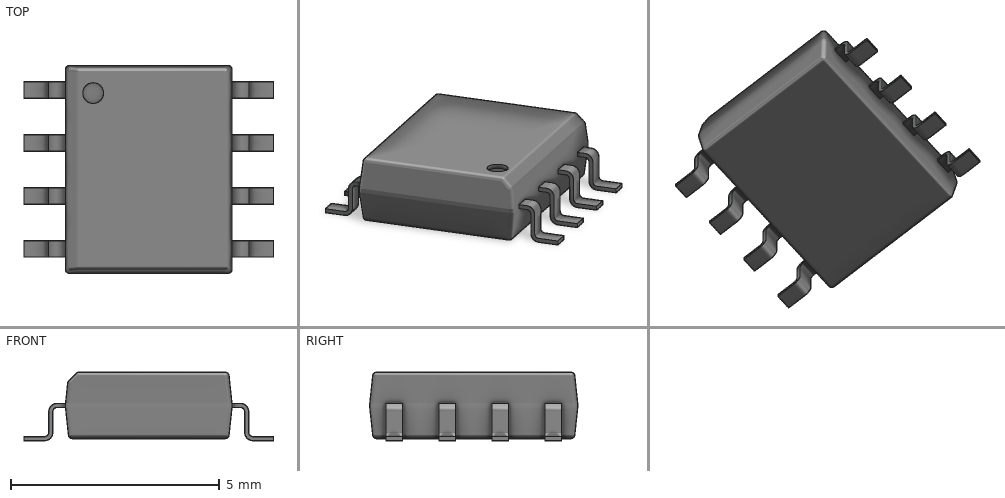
import cadquery as cq
import math

OVERALL_WIDTH = 6.0
OVERALL_HEIGHT = 1.65
BODY_WIDTH = 4.0
BODY_LENGTH = 5.0
STANDOFF = 0.05
DRAFT_ANGLE = 6.0
EDGE_RADIUS = 0.1
CHAMFER_WIDTH = 0.21

DOT_DIAMETER = 0.5
DOT_DEPTH = 0.1
DOT_INSET = 0.665

LEAD_THICKNESS = 0.1
LEAD_WIDTH = 0.4
LEAD_PITCH = 1.27
LEADS_PER_SIDE = 4
LEAD_REACH = 0.4
BEND_INNER_RADIUS = 0.1

BELT_MIDDLE = (STANDOFF + OVERALL_HEIGHT) / 2
BELT_BOTTOM = BELT_MIDDLE - LEAD_THICKNESS / 2
BELT_TOP = BELT_MIDDLE + LEAD_THICKNESS / 2
DRAFTED_HEIGHT = OVERALL_HEIGHT - BELT_TOP
DRAFT_INSET = DRAFTED_HEIGHT * math.tan(math.radians(DRAFT_ANGLE))
BEND_OUTER_RADIUS = BEND_INNER_RADIUS + LEAD_THICKNESS


def drafted_half():
    """Sharp-edged block above the belt, with all four walls drafted."""
    return (
        cq.Workplane("XY", origin=(0, 0, BELT_TOP))
        .rect(BODY_WIDTH, BODY_LENGTH)
        .extrude(DRAFTED_HEIGHT, taper=DRAFT_ANGLE)
    )


def pin_one_bevel():
    """Wedge that bevels the top edge on the -X side at 45 degrees."""
    bevel_top_x = -BODY_WIDTH / 2 + DRAFT_INSET + CHAMFER_WIDTH
    bevel_run = bevel_top_x + BODY_WIDTH / 2
    return (
        cq.Workplane("XZ")
        .moveTo(bevel_top_x, OVERALL_HEIGHT)
        .lineTo(-BODY_WIDTH / 2, OVERALL_HEIGHT)
        .lineTo(-BODY_WIDTH / 2, OVERALL_HEIGHT - bevel_run)
        .close()
        .extrude(BODY_LENGTH / 2, both=True)
    )


def round_edges(half):
    """Round every edge except the ones that border the belt."""
    return half.edges("not <Z").fillet(EDGE_RADIUS)


def pin_one_dot():
    """Blind round recess in the top face."""
    return (
        cq.Workplane("XY", origin=(0, 0, OVERALL_HEIGHT))
        .center(DOT_INSET - BODY_WIDTH / 2, BODY_LENGTH / 2 - DOT_INSET)
        .circle(DOT_DIAMETER / 2)
        .extrude(-DOT_DEPTH)
    )


def make_body():
    """Bevelled half on top of the belt and a plain mirrored half below it."""
    upper_half = round_edges(drafted_half().cut(pin_one_bevel()))
    lower_half = round_edges(drafted_half()).mirror("XY", (0, 0, BELT_MIDDLE))
    belt = upper_half.faces("<Z").wires().toPending().workplane().extrude(LEAD_THICKNESS, combine=False)
    return upper_half.union(belt).union(lower_half).cut(pin_one_dot())


def make_lead():
    """Gull-wing lead on the +X side, centred on Y = 0, butting against the belt."""
    belt_x = BODY_WIDTH / 2
    leg_outer_x = belt_x + LEAD_REACH
    leg_inner_x = leg_outer_x - LEAD_THICKNESS
    tip_x = OVERALL_WIDTH / 2
    shoulder_bend_x = leg_outer_x - BEND_OUTER_RADIUS
    shoulder_bend_z = BELT_TOP - BEND_OUTER_RADIUS
    foot_bend_x = leg_inner_x + BEND_OUTER_RADIUS
    foot_bend_z = BEND_OUTER_RADIUS
    return (
        cq.Workplane("XZ")
        .moveTo(belt_x, BELT_TOP)
        .lineTo(shoulder_bend_x, BELT_TOP)
        .radiusArc((leg_outer_x, shoulder_bend_z), BEND_OUTER_RADIUS)
        .lineTo(leg_outer_x, foot_bend_z)
        .radiusArc((foot_bend_x, LEAD_THICKNESS), -BEND_INNER_RADIUS)
        .lineTo(tip_x, LEAD_THICKNESS)
        .lineTo(tip_x, 0)
        .lineTo(foot_bend_x, 0)
        .radiusArc((leg_inner_x, foot_bend_z), BEND_OUTER_RADIUS)
        .lineTo(leg_inner_x, shoulder_bend_z)
        .radiusArc((shoulder_bend_x, BELT_BOTTOM), -BEND_INNER_RADIUS)
        .lineTo(belt_x, BELT_BOTTOM)
        .close()
        .extrude(LEAD_WIDTH / 2, both=True)
    )


body = make_body()

right_lead = make_lead()
left_lead = right_lead.mirror("YZ")
first_lead_y = -LEAD_PITCH * (LEADS_PER_SIDE - 1) / 2
leads = []
for index in range(LEADS_PER_SIDE):
    lead_place = (0, first_lead_y + index * LEAD_PITCH, 0)
    leads.append(right_lead.translate(lead_place).solids().val())
    leads.append(left_lead.translate(lead_place).solids().val())

result = cq.Compound.makeCompound([body.solids().val(), *leads])